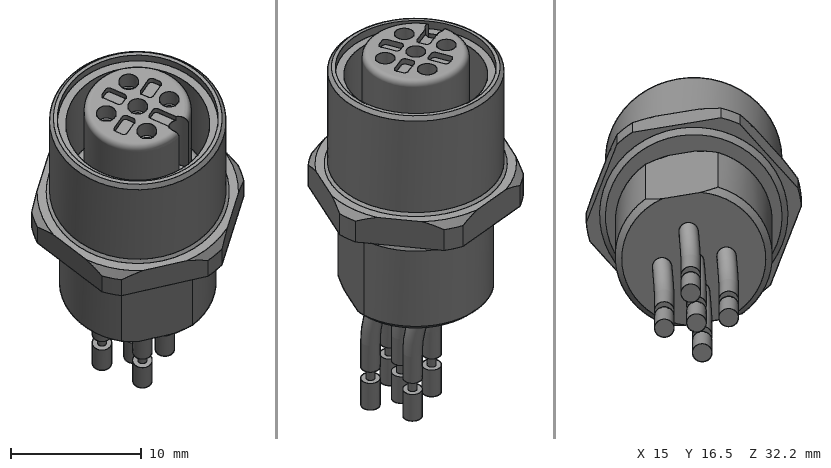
import cadquery as cq
import math

INSERT_TOP = 22.0
SHELL_TOP = 20.55
FLARE_TOP = 11.7
HEX_TOP = 11.5
HEX_BOTTOM = 9.0
COLLAR_BOTTOM = 8.6
NECK_CONE_BOTTOM = 7.55
CAVITY_FLOOR = 12.0
WIRE_END = -10.15

SHELL_RADIUS = 13.5 / 2
SHELL_CHAMFER = 0.3
MOUTH_RADIUS = 12.3 / 2
MOUTH_DEPTH = 0.7
CAVITY_RADIUS = 11.0 / 2

HEX_ACROSS_FLATS = 15.0
HEX_CORNER_RADIUS = 16.5 / 2
HEX_CHAMFER = 0.55
FLARE_RADIUS = SHELL_RADIUS + 0.25
COLLAR_RADIUS = 7.2

REAR_RADIUS = 12.01 / 2
REAR_NECK_RADIUS = 5.4
REAR_CHAMFER = 0.5
REAR_ACROSS_FLATS = 10.6

INSERT_RADIUS = 8.2 / 2
INSERT_EDGE_FILLET = 0.5
CONTACT_PITCH_RADIUS = 2.5
CONTACT_MOUTH_DIAMETER = 1.5
CONTACT_MOUTH_DEPTH = 1.5
CONTACT_BORE_DIAMETER = 1.15
CONTACT_BORE_DEPTH = 8.0

RECESS_INNER = 1.18
RECESS_OUTER = 2.95
RECESS_WIDTH = 1.1
RECESS_CORNER = 0.3
RECESS_DEPTH = 0.5
KEYWAY_WIDTH = 1.5
KEYWAY_CENTER = 3.53
KEYWAY_OVERRUN = 0.3
KEYWAY_DEPTH = 6.0
KEYWAY_ANGLE = 45

WIRE_DIAMETER = 1.5
CONDUCTOR_DIAMETER = 0.7
WIRE_TIP_LENGTH = 2.5
BARE_LENGTH = 1.05
WIRE_STRAIGHT_LENGTH = 2.45
WIRE_BEND_RADIUS = 9.0
WIRE_BEND_ANGLE = 20
WIRE_SHIFT_X = -1.2
WIRE_EMBED = 1.0

CONTACT_POSITIONS = [
    (0, 0),
    (CONTACT_PITCH_RADIUS, 0),
    (0, CONTACT_PITCH_RADIUS),
    (-CONTACT_PITCH_RADIUS, 0),
    (0, -CONTACT_PITCH_RADIUS),
]


def revolve_profile(profile):
    """Turn a closed half-section, drawn as (radius, height), about Z."""
    return profile.close().revolve(360, (0, 0, 0), (0, 1, 0))


def make_front():
    """Shell, cavity with a rounded seal ring at its floor, and insert."""
    seal_center = (INSERT_RADIUS + CAVITY_RADIUS) / 2
    seal_radius = (CAVITY_RADIUS - INSERT_RADIUS) / 2
    fillet_mid = INSERT_EDGE_FILLET * (1 - math.sqrt(0.5))
    profile = (
        cq.Workplane("XZ")
        .moveTo(0, COLLAR_BOTTOM)
        .lineTo(SHELL_RADIUS, COLLAR_BOTTOM)
        .lineTo(COLLAR_RADIUS, HEX_BOTTOM)
        .lineTo(FLARE_RADIUS, HEX_BOTTOM)
        .lineTo(FLARE_RADIUS, HEX_TOP)
        .lineTo(SHELL_RADIUS, FLARE_TOP)
        .lineTo(SHELL_RADIUS, SHELL_TOP - SHELL_CHAMFER)
        .lineTo(SHELL_RADIUS - SHELL_CHAMFER, SHELL_TOP)
        .lineTo(MOUTH_RADIUS, SHELL_TOP)
        .lineTo(MOUTH_RADIUS, SHELL_TOP - MOUTH_DEPTH)
        .lineTo(CAVITY_RADIUS, SHELL_TOP - MOUTH_DEPTH)
        .lineTo(CAVITY_RADIUS, CAVITY_FLOOR)
        .threePointArc((seal_center, CAVITY_FLOOR + seal_radius), (INSERT_RADIUS, CAVITY_FLOOR))
        .lineTo(INSERT_RADIUS, INSERT_TOP - INSERT_EDGE_FILLET)
        .threePointArc(
            (INSERT_RADIUS - fillet_mid, INSERT_TOP - fillet_mid),
            (INSERT_RADIUS - INSERT_EDGE_FILLET, INSERT_TOP),
        )
        .lineTo(0, INSERT_TOP)
    )
    return revolve_profile(profile)


def make_hex_flange():
    """Hexagon with rounded corners and a conical chamfer on its upper face."""
    height = HEX_TOP - HEX_BOTTOM
    corner_to_corner = HEX_ACROSS_FLATS / math.cos(math.radians(30))
    hexagon = (
        cq.Workplane("XY", origin=(0, 0, HEX_BOTTOM))
        .transformed(rotate=(0, 0, 30))
        .polygon(6, corner_to_corner)
        .extrude(height)
    )
    corner_trim = (
        cq.Workplane("XY", origin=(0, 0, HEX_BOTTOM))
        .circle(HEX_CORNER_RADIUS)
        .extrude(height)
        .faces(">Z")
        .chamfer(HEX_CHAMFER)
    )
    return hexagon.intersect(corner_trim)


def make_rear_body():
    """Round rear body, tapered toward the collar, with two side flats."""
    profile = (
        cq.Workplane("XZ")
        .moveTo(0, 0)
        .lineTo(REAR_RADIUS - REAR_CHAMFER, 0)
        .lineTo(REAR_RADIUS, REAR_CHAMFER)
        .lineTo(REAR_RADIUS, NECK_CONE_BOTTOM)
        .lineTo(REAR_NECK_RADIUS, COLLAR_BOTTOM)
        .lineTo(0, COLLAR_BOTTOM)
    )
    flats = cq.Workplane("XY").box(
        REAR_ACROSS_FLATS, 2 * REAR_RADIUS, COLLAR_BOTTOM, centered=(True, True, False)
    )
    return revolve_profile(profile).intersect(flats)


def make_wire(x, y):
    """Wire with a bare stretch near its tip, bent toward +X into the body."""
    tip_top = WIRE_END + WIRE_TIP_LENGTH
    bare_top = tip_top + BARE_LENGTH
    bend_start = bare_top + WIRE_STRAIGHT_LENGTH
    angle = math.radians(WIRE_BEND_ANGLE)

    def bend_point(turn):
        return (
            WIRE_BEND_RADIUS * (1 - math.cos(turn)),
            bend_start - bare_top + WIRE_BEND_RADIUS * math.sin(turn),
        )

    bend_end = bend_point(angle)
    rise = WIRE_EMBED - bare_top - bend_end[1]
    path = (
        cq.Workplane("XZ", origin=(x, y, bare_top))
        .lineTo(0, WIRE_STRAIGHT_LENGTH)
        .threePointArc(bend_point(angle / 2), bend_end)
        .lineTo(bend_end[0] + rise * math.tan(angle), bend_end[1] + rise)
    )
    insulation = (
        cq.Workplane("XY", origin=(x, y, bare_top)).circle(WIRE_DIAMETER / 2).sweep(path)
    )
    conductor = (
        cq.Workplane("XY", origin=(x, y, tip_top))
        .circle(CONDUCTOR_DIAMETER / 2)
        .extrude(BARE_LENGTH)
    )
    tip = (
        cq.Workplane("XY", origin=(x, y, WIRE_END))
        .circle(WIRE_DIAMETER / 2)
        .extrude(WIRE_TIP_LENGTH)
    )
    return insulation.union(conductor).union(tip)


def make_contact_holes():
    """Stepped contact bores opening on the insert face."""
    face = cq.Workplane("XY", origin=(0, 0, INSERT_TOP)).pushPoints(CONTACT_POSITIONS)
    mouths = face.circle(CONTACT_MOUTH_DIAMETER / 2).extrude(-CONTACT_MOUTH_DEPTH)
    bores = face.circle(CONTACT_BORE_DIAMETER / 2).extrude(-CONTACT_BORE_DEPTH)
    return mouths.union(bores)


def make_recess(angle, outer_end):
    """Shallow rounded rectangular recess lying along a radius at the angle."""
    length = outer_end - RECESS_INNER
    recess = (
        cq.Workplane("XY", origin=((RECESS_INNER + outer_end) / 2, 0, INSERT_TOP))
        .rect(length, RECESS_WIDTH)
        .extrude(-RECESS_DEPTH)
        .edges("|Z")
        .fillet(RECESS_CORNER)
    )
    return recess.rotate((0, 0, 0), (0, 0, 1), angle)


def make_keyway():
    """Round-bottomed groove along the side of the insert."""
    outer_length = INSERT_RADIUS + KEYWAY_OVERRUN - KEYWAY_CENTER
    face = cq.Workplane("XY", origin=(KEYWAY_CENTER, 0, INSERT_TOP))
    round_part = face.circle(KEYWAY_WIDTH / 2).extrude(-KEYWAY_DEPTH)
    straight_part = (
        face.center(outer_length / 2, 0)
        .rect(outer_length, KEYWAY_WIDTH)
        .extrude(-KEYWAY_DEPTH)
    )
    groove = round_part.union(straight_part)
    return groove.rotate((0, 0, 0), (0, 0, 1), KEYWAY_ANGLE)


connector = make_front().union(make_hex_flange()).union(make_rear_body())
for contact_x, contact_y in CONTACT_POSITIONS:
    connector = connector.union(make_wire(contact_x + WIRE_SHIFT_X, contact_y))

connector = connector.cut(make_contact_holes())

connector = connector.cut(make_recess(KEYWAY_ANGLE, KEYWAY_CENTER))
for quarter in range(1, 4):
    connector = connector.cut(make_recess(KEYWAY_ANGLE + 90 * quarter, RECESS_OUTER))

result = connector.cut(make_keyway())